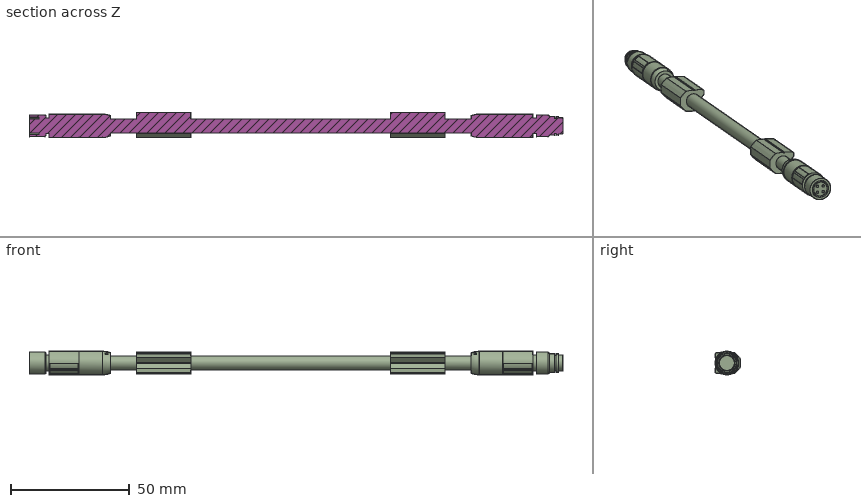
import cadquery as cq
import math

total_length = 224.6
cable_radius = 3.0

housing_radius = 4.99
grip_length = 12.7
body_length = 9.9
tail_length = 3.4
tail_end_radius = 4.3
socket_grip_x = 8.2
plug_grip_x = 211.9
seam_width = 0.15
seam_depth = 0.15

panel_angle = 124.0
recess_start_angle = 58.0
recess_end_angle = 85.5
recess_depth = 0.2
recess_end_margin = 0.4

marker_radius = 0.6
marker_depth = 0.3

neck_radius = 3.4
nut_radius = 4.65
nut_chamfer = 0.5
socket_nut_length = 7.1
plug_nut_x = 213.3
plug_nut_end_x = 218.8

insert_radius = 3.0
gap_radius = 3.6
gap_depth = 4.0
contact_hole_radius = 0.5
contact_circle_radius = 1.8
contact_hole_depth = 4.0
contact_count = 4
first_contact_angle = 45.0

thread_radius = 4.0
groove_radius = 3.3
nose_radius = 3.45
groove_x = 221.0
collar_x = 221.6
nose_x = 222.6
nose_chamfer = 0.3

carrier_length = 23.0
carrier_starts = (45.0, 151.9)
carrier_depth = 10.71
carrier_back_y = 5.72
carrier_front_y = carrier_back_y - carrier_depth
carrier_back_half_height = 1.7
carrier_shoulder = (4.5, 3.15)
carrier_crown_start = (3.2, 4.35)
carrier_crown_middle = (-0.5, 4.6)
carrier_crown_end = (-4.6, 4.3)
carrier_front_half_height = 3.9
mouth_half_height = 2.4
mouth_bottom_y = -3.2
mouth_bottom_half_height = 0.25
slit_y = -0.55
slit_width = 0.5
slit_depth = 0.3


def rod(start, end, radius):
    return cq.Workplane("YZ", origin=(start, 0, 0)).circle(radius).extrude(end - start)


def ring(start, end, inner_radius, outer_radius):
    section = cq.Workplane("YZ", origin=(start, 0, 0)).circle(outer_radius).circle(inner_radius)
    return section.extrude(end - start)


def grip_recess(start_angle, end_angle):
    """Arc-shaped strip cut into the grip skin; the grip starts at x = 0."""
    inner = housing_radius - recess_depth
    outer = housing_radius + recess_depth

    def at(radius, angle):
        return (radius * math.cos(math.radians(angle)), radius * math.sin(math.radians(angle)))

    middle_angle = (start_angle + end_angle) / 2
    return (
        cq.Workplane("YZ", origin=(recess_end_margin, 0, 0))
        .moveTo(*at(inner, start_angle))
        .threePointArc(at(inner, middle_angle), at(inner, end_angle))
        .lineTo(*at(outer, end_angle))
        .threePointArc(at(outer, middle_angle), at(outer, start_angle))
        .close()
        .extrude(grip_length - 2 * recess_end_margin)
    )


def housing():
    """Connector housing with the grip starting at x = 0 and the tail towards +X."""
    body_end = grip_length + body_length
    tail_end = body_end + tail_length
    shape = (
        cq.Workplane("XY")
        .lineTo(0, housing_radius)
        .lineTo(body_end, housing_radius)
        .tangentArcPoint((tail_end, tail_end_radius), relative=False)
        .lineTo(tail_end, 0)
        .close()
        .revolve(360, (0, 0, 0), (1, 0, 0))
    )
    for seam_x in (grip_length, body_end):
        shape = shape.cut(ring(
            seam_x - seam_width / 2,
            seam_x + seam_width / 2,
            housing_radius - seam_depth,
            housing_radius + seam_depth,
        ))
    for middle in (panel_angle, panel_angle + 180):
        for side in (-1, 1):
            shape = shape.cut(grip_recess(
                middle + side * recess_start_angle,
                middle + side * recess_end_angle,
            ))
    marker = (
        cq.Workplane("XY", origin=((body_end + tail_end) / 2, 0, tail_end_radius - marker_depth))
        .circle(marker_radius)
        .extrude(housing_radius)
        .rotate((0, 0, 0), (1, 0, 0), panel_angle - 90)
    )
    return shape.cut(marker)


def socket_nut():
    nut = rod(0, socket_nut_length, nut_radius).faces(">X").chamfer(nut_chamfer)
    nut = nut.cut(ring(0, gap_depth, insert_radius, gap_radius))
    contact_holes = (
        cq.Workplane("YZ")
        .polarArray(contact_circle_radius, first_contact_angle, 360, contact_count)
        .circle(contact_hole_radius)
        .extrude(contact_hole_depth)
    )
    return nut.cut(contact_holes)


def plug_end():
    """Nut, thread, sealing groove, collar and nose of the plug."""
    outline = [
        (plug_nut_x, 0),
        (plug_nut_x, nut_radius),
        (plug_nut_end_x - nut_chamfer, nut_radius),
        (plug_nut_end_x, nut_radius - nut_chamfer),
        (plug_nut_end_x, thread_radius),
        (groove_x, thread_radius),
        (groove_x, groove_radius),
        (collar_x, groove_radius),
        (collar_x, thread_radius),
        (nose_x, thread_radius),
        (nose_x, nose_radius),
        (total_length - nose_chamfer, nose_radius),
        (total_length, nose_radius - nose_chamfer),
        (total_length, 0),
    ]
    return cq.Workplane("XY").polyline(outline).close().revolve(360, (0, 0, 0), (1, 0, 0))


def label_carrier(start):
    """D-shaped carrier around the cable with a tapered mouth along its -Y side."""
    def below(point):
        return (point[0], -point[1])

    carrier = (
        cq.Workplane("YZ", origin=(start, 0, 0))
        .moveTo(carrier_back_y, carrier_back_half_height)
        .lineTo(*carrier_shoulder)
        .lineTo(*carrier_crown_start)
        .threePointArc(carrier_crown_middle, carrier_crown_end)
        .lineTo(carrier_front_y, carrier_front_half_height)
        .lineTo(carrier_front_y, mouth_half_height)
        .lineTo(mouth_bottom_y, mouth_bottom_half_height)
        .lineTo(mouth_bottom_y, -mouth_bottom_half_height)
        .lineTo(carrier_front_y, -mouth_half_height)
        .lineTo(carrier_front_y, -carrier_front_half_height)
        .lineTo(*below(carrier_crown_end))
        .threePointArc(below(carrier_crown_middle), below(carrier_crown_start))
        .lineTo(*below(carrier_shoulder))
        .lineTo(carrier_back_y, -carrier_back_half_height)
        .close()
        .extrude(carrier_length)
    )
    for side in (-1, 1):
        slit = cq.Workplane("XY").box(carrier_length, slit_width, 2 * slit_depth)
        slit_x = start + carrier_length / 2
        carrier = carrier.cut(slit.translate((slit_x, slit_y, side * carrier_crown_middle[1])))
    return carrier


socket_housing = housing().translate((socket_grip_x, 0, 0))
plug_housing = housing().mirror("YZ").translate((plug_grip_x, 0, 0))

result = rod(socket_grip_x, plug_grip_x, cable_radius)
result = result.union(socket_housing).union(plug_housing)
result = result.union(rod(socket_nut_length, socket_grip_x, neck_radius)).union(socket_nut())
result = result.union(rod(plug_grip_x, plug_nut_x, neck_radius)).union(plug_end())
for carrier_start in carrier_starts:
    result = result.union(label_carrier(carrier_start))